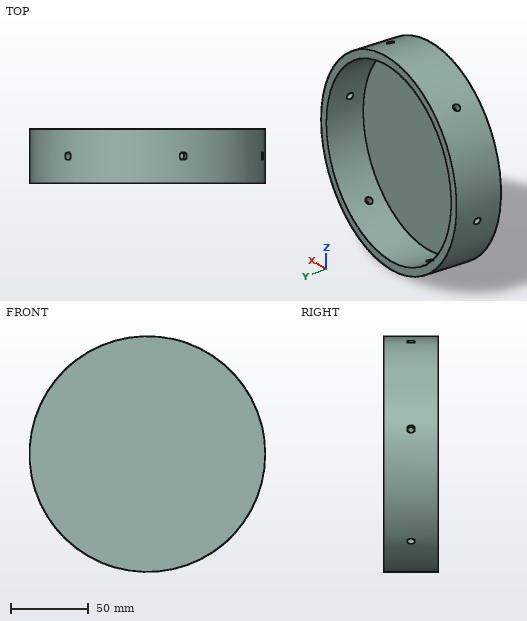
import cadquery as cq

outer_diameter = 151.4
cup_width = 35.0
wall_thickness = 6.0
floor_thickness = wall_thickness

hole_count = 6
hole_diameter = 5.0
first_hole_angle = 17.7


def make_cylinder_along_y(diameter, start_y, end_y):
    return (
        cq.Workplane("XZ", origin=(0, start_y, 0))
        .circle(diameter / 2)
        .extrude(start_y - end_y)
    )


def make_cup():
    front_y = -cup_width / 2
    back_y = cup_width / 2
    body = make_cylinder_along_y(outer_diameter, front_y, back_y)
    cavity_diameter = outer_diameter - 2 * wall_thickness
    cavity = make_cylinder_along_y(cavity_diameter, front_y + floor_thickness, back_y)
    return body.cut(cavity)


def make_radial_hole(angle):
    """Drill from the axis out through the wall at mid-width, turned about Y from +Z."""
    drill = cq.Workplane("XY").circle(hole_diameter / 2).extrude(outer_diameter)
    return drill.rotate((0, 0, 0), (0, 1, 0), angle)


result = make_cup()
for index in range(hole_count):
    result = result.cut(make_radial_hole(first_hole_angle + index * 360 / hole_count))